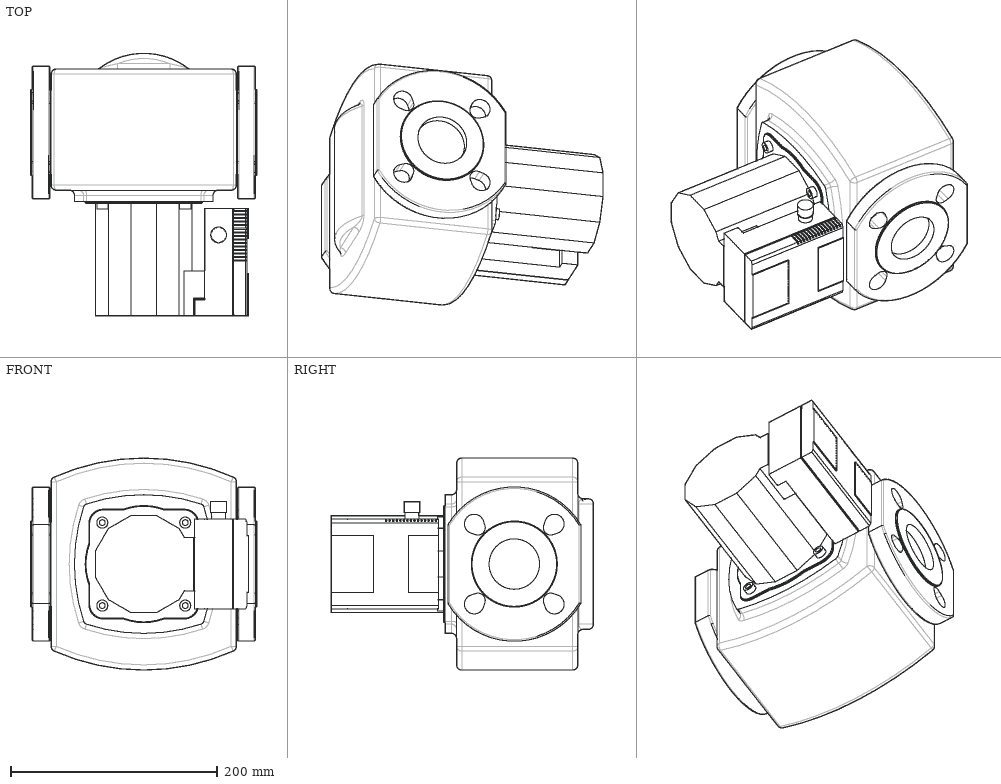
import cadquery as cq
import math


SHELL_HALF_WIDTH = 89.8
SHELL_HALF_HEIGHT = 102.8
SHELL_CORNER_Z = 83.0
SHELL_FRONT_Y = -56.0
SHELL_BACK_Y = 61.5
CASTING_RADIUS = 5.0

PAD_CORNER = 57.5
PAD_CORNER_RADIUS = 4.3
PAD_BULGE = 67.2
PAD_FACE_Y = -67.0

BULGE_RADIUS = 70.3
BULGE_BACK_Y = 76.9
BULGE_HALF_HEIGHT = 63.5

FLANGE_RADIUS = 74.8
FLANGE_HALF_FLATS = 64.5
FLANGE_OUTER_X = 108.2
FLANGE_INNER_X = 90.9
FLANGE_EDGE_RADIUS = 1.5
SEAL_FACE_X = 110.0
SEAL_FACE_RADIUS = 41.7
SEAL_CHAMFER = 0.8
PORT_RADIUS = 24.5
PORT_DEPTH = 9.2
NECK_RADIUS = 40.7

LARGE_BOLT_RADIUS = 9.5
LARGE_BOLT_CIRCLE = 55.0
SMALL_BOLT_RADIUS = 7.0
SMALL_BOLT_CIRCLE = 50.0

PLATE_FACE_Y = -68.7
PLATE_HALF_SIDE = 53.2
PLATE_CORNER_RADIUS = 14.0
PLATE_ROUND_RADIUS = 56.8
PLATE_CHAMFER = 0.8
OVERALL_LENGTH = 254.5
MOTOR_FRONT_Y = BULGE_BACK_Y - OVERALL_LENGTH
MOTOR_SIDES = 12
MOTOR_CORNER_RADIUS = 48.5

BRACKET_HALF_HEIGHT = 26.0
BRACKET_BACK_Y = -134.1
BRACKET_STEP_X = 48.4
BRACKET_STEP_Y = -160.9
FOOT_GAP = 1.0

BOX_HALF_HEIGHT = 43.5
BOX_INNER_X = 59.0
BOX_OUTER_X = 86.0
BOX_BACK_Y = -73.5
LID_INNER_X = 87.0
LID_EDGE_X = 98.8
LID_OUTER_X = 100.3
LID_BEVEL_HEIGHT = 3.5
LID_LIP_INSET = 1.5
PANEL_OUTER_X = 101.3
PANEL_HALF_HEIGHT = 27.5
BACK_PANEL_END_Y = -102.5
FRONT_PANEL_START_Y = -136.5

SLOT_COUNT = 15
SLOT_SPAN = 48.0
SLOT_PITCH = SLOT_SPAN / (SLOT_COUNT - 1)
SLOT_WIDTH = 1.0
SLOT_DEPTH = 2.0
FIRST_SLOT_Y = -76.0

GLAND_X = 72.5
GLAND_Y = -99.3
GLAND_RADIUS = 7.6
GLAND_NECK_RADIUS = 6.9
GLAND_NECK_TOP_Z = 50.0
GLAND_TOP_Z = 60.5

SCREW_OFFSET = 40.2
SCREW_HEAD_RADIUS = 5.3
SCREW_HEAD_HEIGHT = 5.5
SOCKET_RADIUS = 2.8
SOCKET_DEPTH = 2.8

PICK_MARGIN = 0.3


def box_between(x_range, y_range, z_range):
    """Box given by its lower and upper bounds on each axis."""
    low, high = zip(x_range, y_range, z_range)
    size = [b - a for a, b in zip(low, high)]
    return cq.Workplane("XY").box(*size, centered=False).translate(low)


def section_at(y):
    """Sketch plane across the motor axis, extruding toward -Y."""
    return cq.Workplane("XZ", origin=(0, y, 0))


def make_shell():
    """Block with flat sides and arched top and bottom, all edges rounded."""
    outline = (
        section_at(SHELL_BACK_Y)
        .moveTo(-SHELL_HALF_WIDTH, -SHELL_CORNER_Z)
        .lineTo(-SHELL_HALF_WIDTH, SHELL_CORNER_Z)
        .threePointArc((0, SHELL_HALF_HEIGHT), (SHELL_HALF_WIDTH, SHELL_CORNER_Z))
        .lineTo(SHELL_HALF_WIDTH, -SHELL_CORNER_Z)
        .threePointArc((0, -SHELL_HALF_HEIGHT), (-SHELL_HALF_WIDTH, -SHELL_CORNER_Z))
        .close()
    )
    return outline.extrude(SHELL_BACK_Y - SHELL_FRONT_Y).edges().fillet(CASTING_RADIUS)


def make_pad():
    """Square mounting pad with four bowed sides."""
    c = PAD_CORNER
    outline = (
        section_at(0)
        .moveTo(-c, -c)
        .threePointArc((-PAD_BULGE, 0), (-c, c))
        .threePointArc((0, PAD_BULGE), (c, c))
        .threePointArc((PAD_BULGE, 0), (c, -c))
        .threePointArc((0, -PAD_BULGE), (-c, -c))
        .close()
    )
    return outline.extrude(-PAD_FACE_Y).edges("|Y").fillet(PAD_CORNER_RADIUS)


def make_back_bulge():
    """Upright cylinder with rounded rims, kept only behind the pipe axis."""
    drum = (
        cq.Workplane("XY", origin=(0, BULGE_BACK_Y - BULGE_RADIUS, -BULGE_HALF_HEIGHT))
        .circle(BULGE_RADIUS)
        .extrude(2 * BULGE_HALF_HEIGHT)
        .edges("%CIRCLE")
        .fillet(CASTING_RADIUS)
    )
    half_width = (-BULGE_RADIUS, BULGE_RADIUS)
    half_height = (-BULGE_HALF_HEIGHT, BULGE_HALF_HEIGHT)
    return drum.intersect(box_between(half_width, (0, BULGE_BACK_Y), half_height))


def make_bolt_hole():
    """Tapered slot through the +X flange, with its long axis along +Y."""
    length = SEAL_FACE_X - FLANGE_INNER_X
    spacing = LARGE_BOLT_CIRCLE - SMALL_BOLT_CIRCLE
    tangent_cos = (SMALL_BOLT_RADIUS - LARGE_BOLT_RADIUS) / spacing
    tangent_sin = math.sqrt(1 - tangent_cos**2)

    def tangent_point(centre, radius, side):
        return (centre + radius * tangent_cos, side * radius * tangent_sin)

    plane = cq.Workplane("YZ", origin=(FLANGE_INNER_X, 0, 0))
    outline = (
        plane.moveTo(*tangent_point(SMALL_BOLT_CIRCLE, SMALL_BOLT_RADIUS, -1))
        .lineTo(*tangent_point(LARGE_BOLT_CIRCLE, LARGE_BOLT_RADIUS, -1))
        .threePointArc(
            (LARGE_BOLT_CIRCLE + LARGE_BOLT_RADIUS, 0),
            tangent_point(LARGE_BOLT_CIRCLE, LARGE_BOLT_RADIUS, 1),
        )
        .lineTo(*tangent_point(SMALL_BOLT_CIRCLE, SMALL_BOLT_RADIUS, 1))
        .threePointArc(
            (SMALL_BOLT_CIRCLE - SMALL_BOLT_RADIUS, 0),
            tangent_point(SMALL_BOLT_CIRCLE, SMALL_BOLT_RADIUS, -1),
        )
        .close()
    )
    return outline.extrude(length)


def make_flange():
    """The +X flange: a disc with two flats, raised seal face, neck and bolt holes."""
    plane = cq.Workplane("YZ", origin=(FLANGE_INNER_X, 0, 0))
    thickness = FLANGE_OUTER_X - FLANGE_INNER_X
    disc = plane.circle(FLANGE_RADIUS).extrude(thickness)
    flats = plane.rect(2 * FLANGE_HALF_FLATS, 2 * FLANGE_RADIUS).extrude(thickness)
    disc = disc.intersect(flats).faces("<X or >X").edges().fillet(FLANGE_EDGE_RADIUS)
    seal_face = (
        plane.circle(SEAL_FACE_RADIUS)
        .extrude(SEAL_FACE_X - FLANGE_INNER_X)
        .faces(">X")
        .edges()
        .chamfer(SEAL_CHAMFER)
    )
    flange = disc.union(seal_face)
    for angle in (45, 135, 225, 315):
        flange = flange.cut(make_bolt_hole().rotate((0, 0, 0), (1, 0, 0), angle))
    neck = plane.circle(NECK_RADIUS).extrude(SHELL_HALF_WIDTH - FLANGE_INNER_X)
    return flange.union(neck)


def make_housing():
    """Shell, pad, back bulge and both flanges in one casting, with blind ports."""
    body = make_shell().union(make_pad())
    reach = PAD_BULGE + PICK_MARGIN
    pad_foot = cq.selectors.BoxSelector(
        (-reach, SHELL_FRONT_Y - PICK_MARGIN, -reach),
        (reach, SHELL_FRONT_Y + PICK_MARGIN, reach),
    )
    body = body.edges(pad_foot).fillet(CASTING_RADIUS)
    body = body.union(make_back_bulge())
    bulge_foot = cq.selectors.BoxSelector(
        (-reach, SHELL_BACK_Y - PICK_MARGIN, -reach),
        (reach, SHELL_BACK_Y + PICK_MARGIN, reach),
    )
    body = body.edges(bulge_foot).fillet(CASTING_RADIUS)
    flange = make_flange()
    body = body.union(flange).union(flange.mirror("YZ"))
    port = cq.Workplane("YZ", origin=(SEAL_FACE_X, 0, 0)).circle(PORT_RADIUS).extrude(-PORT_DEPTH)
    return body.cut(port).cut(port.mirror("YZ"))


def make_motor():
    """Mounting plate, twelve-sided motor can and the stepped bracket on its +X side."""
    thickness = PAD_FACE_Y - PLATE_FACE_Y
    side = 2 * PLATE_HALF_SIDE
    square = section_at(PAD_FACE_Y).rect(side, side).extrude(thickness)
    square = square.edges("|Y").fillet(PLATE_CORNER_RADIUS)
    plate = square.union(section_at(PAD_FACE_Y).circle(PLATE_ROUND_RADIUS).extrude(thickness))
    plate = plate.faces("<Y").edges().chamfer(PLATE_CHAMFER)
    half_step = 180 / MOTOR_SIDES
    can = (
        section_at(PLATE_FACE_Y)
        .polygon(MOTOR_SIDES, 2 * MOTOR_CORNER_RADIUS)
        .extrude(PLATE_FACE_Y - MOTOR_FRONT_Y)
        .rotate((0, 0, 0), (0, 1, 0), half_step)
    )
    heights = (-BRACKET_HALF_HEIGHT, BRACKET_HALF_HEIGHT)
    foot = box_between((0, BRACKET_STEP_X), (MOTOR_FRONT_Y, BRACKET_BACK_Y), heights)
    arm = box_between((0, BOX_INNER_X), (BRACKET_STEP_Y, BRACKET_BACK_Y), heights)
    return plate.union(can).union(foot).union(arm)


def make_terminal_box():
    """Box beside the motor, with a foot that reaches in front of the bracket's step."""
    heights = (-BOX_HALF_HEIGHT, BOX_HALF_HEIGHT)
    case = box_between((BOX_INNER_X, BOX_OUTER_X), (MOTOR_FRONT_Y, BOX_BACK_Y), heights)
    foot_x = BRACKET_STEP_X + FOOT_GAP
    foot_y = BRACKET_STEP_Y - FOOT_GAP
    foot = box_between((foot_x, BOX_OUTER_X), (MOTOR_FRONT_Y, foot_y), heights)
    return case.union(foot)


def make_lid():
    """Bevelled lid with an inset lip against the box, raised panels and cooling slots."""
    h = BOX_HALF_HEIGHT
    lid = (
        section_at(BOX_BACK_Y)
        .moveTo(LID_INNER_X, -h)
        .lineTo(LID_EDGE_X, -h)
        .lineTo(LID_OUTER_X, LID_BEVEL_HEIGHT - h)
        .lineTo(LID_OUTER_X, h - LID_BEVEL_HEIGHT)
        .lineTo(LID_EDGE_X, h)
        .lineTo(LID_INNER_X, h)
        .close()
        .extrude(BOX_BACK_Y - MOTOR_FRONT_Y)
    )
    lip_h = h - LID_LIP_INSET
    lip_y = (MOTOR_FRONT_Y + LID_LIP_INSET, BOX_BACK_Y - LID_LIP_INSET)
    lid = lid.union(box_between((BOX_OUTER_X, LID_EDGE_X), lip_y, (-lip_h, lip_h)))
    panel_z = (-PANEL_HALF_HEIGHT, PANEL_HALF_HEIGHT)
    back_panel_y = (BACK_PANEL_END_Y, BOX_BACK_Y)
    front_panel_y = (MOTOR_FRONT_Y, FRONT_PANEL_START_Y)
    for panel_y in (back_panel_y, front_panel_y):
        lid = lid.union(box_between((LID_EDGE_X, PANEL_OUTER_X), panel_y, panel_z))
    for i in range(SLOT_COUNT):
        y = FIRST_SLOT_Y - i * SLOT_PITCH
        slot_y = (y - SLOT_WIDTH / 2, y + SLOT_WIDTH / 2)
        lid = lid.cut(box_between((LID_INNER_X, PANEL_OUTER_X), slot_y, (h - SLOT_DEPTH, h)))
    return lid


def make_gland():
    """Round cable gland on a slightly narrower neck."""
    base = cq.Workplane("XY", origin=(GLAND_X, GLAND_Y, BOX_HALF_HEIGHT))
    neck_height = GLAND_NECK_TOP_Z - BOX_HALF_HEIGHT
    neck = base.circle(GLAND_NECK_RADIUS).extrude(neck_height)
    head = base.workplane(offset=neck_height).circle(GLAND_RADIUS)
    return neck.union(head.extrude(GLAND_TOP_Z - GLAND_NECK_TOP_Z))


def make_screw(x, z):
    """Screw head on the motor plate with a round socket."""
    head = section_at(PLATE_FACE_Y).center(x, z).circle(SCREW_HEAD_RADIUS).extrude(SCREW_HEAD_HEIGHT)
    socket_y = PLATE_FACE_Y - SCREW_HEAD_HEIGHT + SOCKET_DEPTH
    socket = section_at(socket_y).center(x, z).circle(SOCKET_RADIUS).extrude(SOCKET_DEPTH)
    return head.cut(socket)


housing = make_housing()
motor = make_motor()
terminal_box = make_terminal_box()
lid = make_lid()
gland = make_gland()
screws = [
    make_screw(x, z)
    for x in (-SCREW_OFFSET, SCREW_OFFSET)
    for z in (-SCREW_OFFSET, SCREW_OFFSET)
]

result = cq.Compound.makeCompound(
    [
        housing.val(),
        motor.val(),
        terminal_box.val(),
        lid.val(),
        gland.val(),
        *[screw.val() for screw in screws],
    ]
)